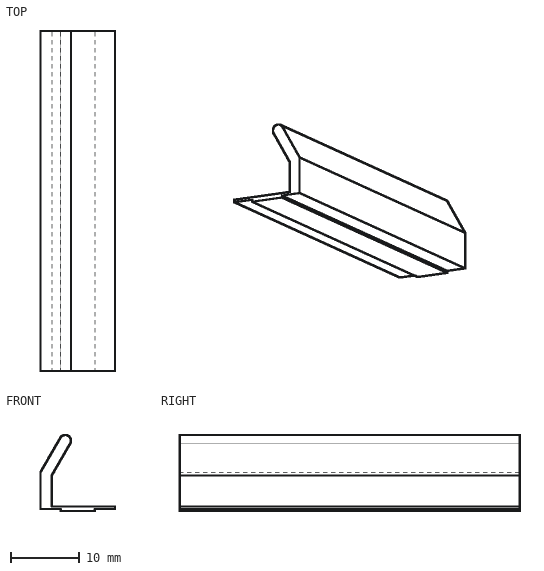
import cadquery as cq
import math

length = 50.0
base_width = 11.0
total_height = 11.2

wall = 1.7
base_thickness = 0.4
bend_height = 5.4
lean = math.radians(30)

strip_start = 3.0
strip_width = 5.0
strip_thickness = 0.3

tip_radius = wall / 2
inner_bend_height = bend_height - wall * math.tan(lean / 2)
base_top = strip_thickness + base_thickness
outer_bend_z = strip_thickness + bend_height
inner_bend_z = strip_thickness + inner_bend_height

tip_z = total_height - tip_radius
normal_x = tip_radius * math.cos(lean)
normal_z = tip_radius * math.sin(lean)
tip_x = normal_x + (tip_z + normal_z - outer_bend_z) * math.tan(lean)


def make_angle():
    profile = (
        cq.Workplane("XZ")
        .moveTo(0, strip_thickness)
        .lineTo(base_width, strip_thickness)
        .lineTo(base_width, base_top)
        .lineTo(wall, base_top)
        .lineTo(wall, inner_bend_z)
        .lineTo(tip_x + normal_x, tip_z - normal_z)
        .threePointArc(
            (tip_x + tip_radius * math.sin(lean), tip_z + tip_radius * math.cos(lean)),
            (tip_x - normal_x, tip_z + normal_z),
        )
        .lineTo(0, outer_bend_z)
        .close()
    )
    return profile.extrude(-length)


def make_strip():
    return cq.Workplane("XY").box(
        strip_width, length, strip_thickness, centered=False
    ).translate((strip_start, 0, 0))


result = make_angle().union(make_strip())